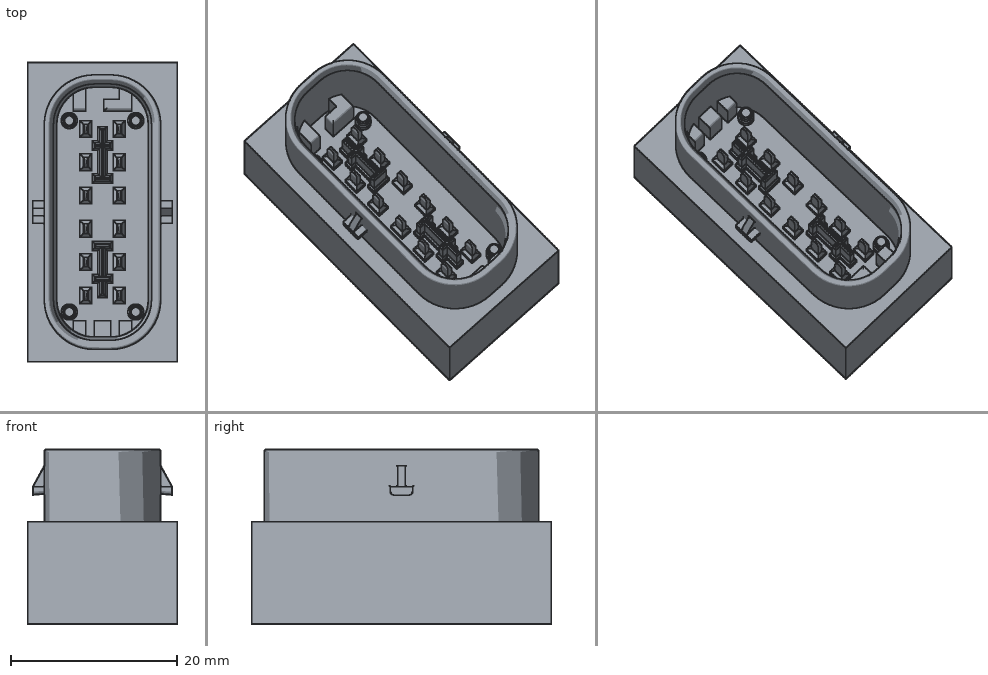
import cadquery as cq
import math

BLOCK_X = 18.0
BLOCK_Y = 36.0
BLOCK_HEIGHT = 12.3
TOTAL_HEIGHT = 21.0

SHROUD_X = 14.0
SHROUD_Y = 33.0
SHROUD_CORNER_RADIUS = 6.0
RIM_OUTER_ROUND = 0.3
RIM_INNER_ROUND = 0.26
RIM_FLAT = 0.18
LEAD_IN_SLOPE = 60.0

SEAL_INSET = 1.1
SEAL_BOTTOM = 19.05
NECK_INSET = 1.42
NECK_TOP = 17.9
WELL_INSET = 1.5
WELL_TOP = 13.5
FLOOR = 8.0

PAD_TOP = 12.55
PAD_ROUND = 0.42
PAD_EMBED = 0.05
PAD_X = 2.75
PAD_WIDTH = 1.5
MIDDLE_PAD_WIDTH = 2.0
FAR_PAD_FACE_Y = 12.13
NEAR_PAD_FACE_Y = -13.08
KEY_FOOT_SIDE_X = 0.15
KEY_FOOT_BACK_Y = 13.55

PIN_X = 2.0
PIN_PITCH = 4.0
PINS_PER_ROW = 6
PIN_BASE_X = 1.45
PIN_BASE_Y = 2.0
PIN_BASE_CHAMFER = 0.42
PIN_BASE_TOP = 9.0
PIN_TOP = 12.0
PIN_TIP_HEIGHT = 0.6
PIN_TIP_INSET = 0.18
PIN_TIP_ROUND = 0.5

STEM_WIDTH = 1.1
STEM_INNER_Y = 3.5
STEM_OUTER_Y = 10.28
BAR_LENGTH = 2.5
BAR_WIDTH = 1.12
BAR_CENTRES_Y = (4.05, 8.0)
RIB_BASE_CHAMFER = 0.24
RIB_BASE_TOP = 9.0
RIB_TOP = 12.0
RIB_TIP_CHAMFER = 0.21

STUD_X = 4.0
STUD_FAR_Y = 11.0
STUD_NEAR_Y = -12.0
STUD_BASE_RADIUS = 0.96
STUD_BASE_CHAMFER = 0.21
STUD_BASE_TOP = 9.0
STUD_TIP_CHAMFER = 0.18
STUD_TOP = 10.0

LATCH_TIP_X = 8.37
LATCH_BAR_WIDTH = 2.7
LATCH_BAR_TOP = 16.52
LATCH_BAR_BOTTOM = 15.5
LATCH_UNDERCUT = 0.12
LATCH_BAR_ROUND = 0.45
LATCH_RAMP_WIDTH = 0.9
LATCH_RAMP_TOP = 19.0
LATCH_ROOT_ROUND = 0.12
WALL_OVERLAP = 0.3
SELECTION_MARGIN = 0.01


def shroud_outline(inset, level):
    """Rounded rectangle parallel to the shroud outside, at the given level."""
    return (
        cq.Sketch()
        .rect(SHROUD_X - 2 * inset, SHROUD_Y - 2 * inset)
        .vertices()
        .fillet(SHROUD_CORNER_RADIUS - inset)
        .moved(cq.Location(cq.Vector(0, 0, level)))
    )


def prism(inset, bottom, top):
    return cq.Workplane("XY").placeSketch(shroud_outline(inset, bottom)).extrude(top - bottom)


def taper(bottom_inset, bottom, top_inset, top):
    lower = shroud_outline(bottom_inset, bottom)
    upper = shroud_outline(top_inset, top)
    return cq.Workplane("XY").placeSketch(lower, upper).loft(ruled=True)


def box(x_range, y_range, z_range):
    size = [high - low for low, high in (x_range, y_range, z_range)]
    corner = cq.Vector(x_range[0], y_range[0], z_range[0])
    return cq.Workplane(cq.Solid.makeBox(*size, corner))


def make_shroud():
    outside = prism(0, BLOCK_HEIGHT, TOTAL_HEIGHT).faces(">Z").edges().fillet(RIM_OUTER_ROUND)
    block = box((-BLOCK_X / 2, BLOCK_X / 2), (-BLOCK_Y / 2, BLOCK_Y / 2), (0, BLOCK_HEIGHT))
    slope = math.radians(LEAD_IN_SLOPE)
    corner_inset = RIM_OUTER_ROUND + RIM_FLAT + RIM_INNER_ROUND * math.tan(slope / 2)
    lead_in_bottom = TOTAL_HEIGHT - (SEAL_INSET - corner_inset) * math.tan(slope)
    cavity = prism(WELL_INSET, FLOOR, WELL_TOP)
    cavity = cavity.union(taper(WELL_INSET, WELL_TOP, NECK_INSET, NECK_TOP))
    cavity = cavity.union(taper(NECK_INSET, NECK_TOP, SEAL_INSET, SEAL_BOTTOM))
    cavity = cavity.union(prism(SEAL_INSET, SEAL_BOTTOM, lead_in_bottom))
    cavity = cavity.union(taper(SEAL_INSET, lead_in_bottom, corner_inset, TOTAL_HEIGHT))
    shell = block.union(outside).cut(cavity)
    inner_rim = shell.faces(">Z").wires(cq.selectors.LengthNthSelector(0)).edges()
    return inner_rim.fillet(RIM_INNER_ROUND)


def end_pad(x_centre, width, face_y, wall_y):
    """Pad from the cavity end wall to face_y, rounded along the top of that face."""
    x_range = (x_centre - width / 2, x_centre + width / 2)
    pad = box(x_range, (min(face_y, wall_y), max(face_y, wall_y)), (FLOOR, PAD_TOP))
    face = "<Y" if face_y < wall_y else ">Y"
    return pad.faces(face).edges(">Z").fillet(PAD_ROUND)


def make_pads():
    far_wall = SHROUD_Y / 2
    near_wall = -SHROUD_Y / 2
    pads = end_pad(-PAD_X, PAD_WIDTH, FAR_PAD_FACE_Y, far_wall)
    pads = pads.union(end_pad(0, MIDDLE_PAD_WIDTH, NEAR_PAD_FACE_Y, near_wall))
    for x in (-PAD_X, PAD_X):
        pads = pads.union(end_pad(x, PAD_WIDTH, NEAR_PAD_FACE_Y, near_wall))
    key_right_x = PAD_X + PAD_WIDTH / 2
    key = box((key_right_x - PAD_WIDTH, key_right_x), (FAR_PAD_FACE_Y, far_wall), (FLOOR, PAD_TOP))
    foot = box((KEY_FOOT_SIDE_X, key_right_x), (FAR_PAD_FACE_Y, KEY_FOOT_BACK_Y), (FLOOR, PAD_TOP))
    key = key.union(foot).clean()
    key = key.faces(">Z").edges("<X or <Y").fillet(PAD_ROUND)
    return pads.union(key).intersect(prism(WELL_INSET - PAD_EMBED, FLOOR, PAD_TOP))


def make_pin(x, y):
    base = (
        cq.Workplane("XY", origin=(x, y, FLOOR))
        .rect(PIN_BASE_X, PIN_BASE_Y)
        .extrude(PIN_BASE_TOP - FLOOR)
        .faces(">Z")
        .chamfer(PIN_BASE_CHAMFER)
    )
    width = PIN_BASE_X - 2 * PIN_BASE_CHAMFER
    length = PIN_BASE_Y - 2 * PIN_BASE_CHAMFER
    blade = (
        cq.Workplane("XY", origin=(x, y, FLOOR))
        .rect(width, length)
        .extrude(PIN_TOP - FLOOR)
        .faces(">Z")
        .chamfer(PIN_TIP_HEIGHT, PIN_TIP_INSET)
        .faces(">Z")
        .edges("|X")
        .fillet(PIN_TIP_ROUND)
    )
    return base.union(blade)


def rib_plan(inset, height):
    """Stem and bars of one rib, drawn in from the full outline by inset."""
    length = STEM_OUTER_Y - STEM_INNER_Y - 2 * inset
    middle = (STEM_OUTER_Y + STEM_INNER_Y) / 2
    plane = cq.Workplane("XY", origin=(0, 0, FLOOR))
    plan = plane.center(0, middle).rect(STEM_WIDTH - 2 * inset, length).extrude(height)
    for y in BAR_CENTRES_Y:
        bar = plane.center(0, y).rect(BAR_LENGTH - 2 * inset, BAR_WIDTH - 2 * inset)
        plan = plan.union(bar.extrude(height))
    return plan.clean()


def make_rib():
    base = rib_plan(0, RIB_BASE_TOP - FLOOR).faces(">Z").chamfer(RIB_BASE_CHAMFER)
    blade = rib_plan(RIB_BASE_CHAMFER, RIB_TOP - FLOOR).faces(">Z").chamfer(RIB_TIP_CHAMFER)
    return base.union(blade)


def make_stud(x, y):
    plane = cq.Workplane("XY", origin=(x, y, FLOOR))
    base = plane.circle(STUD_BASE_RADIUS).extrude(STUD_BASE_TOP - FLOOR)
    base = base.faces(">Z").chamfer(STUD_BASE_CHAMFER)
    post = plane.circle(STUD_BASE_RADIUS - STUD_BASE_CHAMFER).extrude(STUD_TOP - FLOOR)
    return base.union(post.faces(">Z").chamfer(STUD_TIP_CHAMFER))


def make_latch():
    """Hook on the +X side: a cross bar under a ramp that rises to the shroud wall."""
    wall_x = SHROUD_X / 2
    inner_x = wall_x - WALL_OVERLAP
    wall_bottom = LATCH_BAR_BOTTOM + LATCH_UNDERCUT
    bar = (
        cq.Workplane("XZ")
        .moveTo(LATCH_TIP_X, LATCH_BAR_TOP)
        .lineTo(inner_x, LATCH_BAR_TOP)
        .lineTo(inner_x, wall_bottom)
        .lineTo(wall_x, wall_bottom)
        .lineTo(LATCH_TIP_X, LATCH_BAR_BOTTOM)
        .close()
        .extrude(LATCH_BAR_WIDTH / 2, both=True)
    )
    ramp = (
        cq.Workplane("XZ")
        .moveTo(inner_x, LATCH_BAR_TOP)
        .lineTo(LATCH_TIP_X, LATCH_BAR_TOP)
        .lineTo(wall_x, LATCH_RAMP_TOP)
        .lineTo(inner_x, LATCH_RAMP_TOP)
        .close()
        .extrude(LATCH_RAMP_WIDTH / 2, both=True)
    )
    underside = bar.faces("<Z")
    bar = underside.edges("not |Y").fillet(LATCH_BAR_ROUND)
    return bar.union(ramp)


def add_latch(body, side):
    """Join a latch to the +X (side 1) or -X (side -1) wall and round its root, except at the apex."""
    latch = make_latch()
    if side < 0:
        latch = latch.mirror("YZ")
    root_x = side * SHROUD_X / 2
    root = cq.selectors.BoxSelector(
        (root_x - SELECTION_MARGIN, -LATCH_BAR_WIDTH, LATCH_BAR_BOTTOM),
        (root_x + SELECTION_MARGIN, LATCH_BAR_WIDTH, LATCH_RAMP_TOP - SELECTION_MARGIN),
    )
    return body.union(latch).edges(root).fillet(LATCH_ROOT_ROUND)


rib = make_rib()
result = make_shroud().union(make_pads()).union(rib).union(rib.mirror("XZ"))
for row_x in (-PIN_X, PIN_X):
    for index in range(PINS_PER_ROW):
        result = result.union(make_pin(row_x, (index - (PINS_PER_ROW - 1) / 2) * PIN_PITCH))
for stud_x in (-STUD_X, STUD_X):
    for stud_y in (STUD_FAR_Y, STUD_NEAR_Y):
        result = result.union(make_stud(stud_x, stud_y))
for wall_side in (-1, 1):
    result = add_latch(result, wall_side)